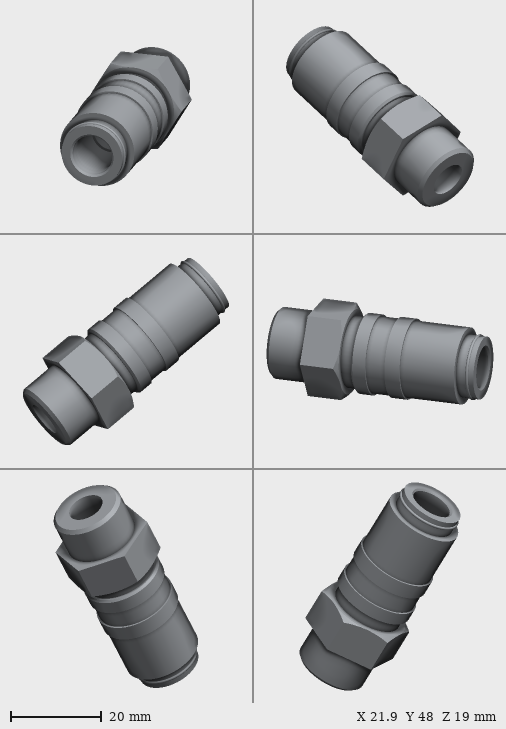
import cadquery as cq
import math

total_length = 48.0
bead_center = 1.6
neck_end = 4.0
rear_collar_start = 16.5
rear_collar_end = 20.0
front_collar_start = 24.5
front_collar_end = 28.0
hex_start = 30.5
hex_end = 39.0

neck_radius = 7.0
bead_section_radius = 0.35
body_radius = 8.6
collar_radius = 9.0
shank_radius = 8.0

collar_chamfer = 0.5
shank_chamfer = 0.75
hex_across_flats = 19.0
hex_chamfer_angle = 30.0

bore_radius = 4.0
entry_radius = 4.55
entry_depth = 14.4
entry_chamfer = 0.45


def cylinder(radius, start, end):
    """Solid cylinder about the Y axis between two axial positions."""
    return cq.Workplane("XZ", origin=(0, start, 0)).circle(radius).extrude(start - end)


def hexagon():
    """Hexagon with corners on the X axis, cone-chamfered on its neck side."""
    flat_radius = hex_across_flats / 2
    corner_radius = flat_radius / math.cos(math.radians(30))
    chamfer_length = (corner_radius - flat_radius) * math.tan(math.radians(hex_chamfer_angle))
    prism = (
        cq.Workplane("XZ", origin=(0, hex_start, 0))
        .polygon(6, 2 * corner_radius)
        .extrude(hex_start - hex_end)
    )
    chamfer_envelope = (
        cq.Workplane("XY")
        .moveTo(0, hex_start)
        .lineTo(flat_radius, hex_start)
        .lineTo(corner_radius, hex_start + chamfer_length)
        .lineTo(corner_radius, hex_end)
        .lineTo(0, hex_end)
        .close()
        .revolve(360, (0, 0, 0), (0, 1, 0))
    )
    return prism.intersect(chamfer_envelope)


def bead():
    """Half-round ring standing proud of the neck."""
    return (
        cq.Workplane("XY")
        .center(neck_radius, bead_center)
        .circle(bead_section_radius)
        .revolve(360, (-neck_radius, 0, 0), (-neck_radius, 1, 0))
    )


def stepped_bore():
    """Through bore with a wider, chamfered entry at the neck end."""
    return (
        cq.Workplane("XY")
        .lineTo(entry_radius + entry_chamfer, 0)
        .lineTo(entry_radius, entry_chamfer)
        .lineTo(entry_radius, entry_depth)
        .lineTo(bore_radius, entry_depth)
        .lineTo(bore_radius, total_length)
        .lineTo(0, total_length)
        .close()
        .revolve(360, (0, 0, 0), (0, 1, 0))
    )


neck = cylinder(neck_radius, 0, neck_end)
body = cylinder(body_radius, neck_end, front_collar_end - collar_chamfer)
rear_collar = cylinder(collar_radius, rear_collar_start, rear_collar_end)
front_collar = (
    cylinder(collar_radius, front_collar_start, front_collar_end)
    .faces(">Y")
    .chamfer(collar_chamfer)
)
shank = (
    cylinder(shank_radius, front_collar_start, total_length)
    .faces(">Y")
    .chamfer(shank_chamfer)
)

result = neck
for section in (bead(), body, rear_collar, front_collar, shank, hexagon()):
    result = result.union(section)
result = result.cut(stepped_bore())